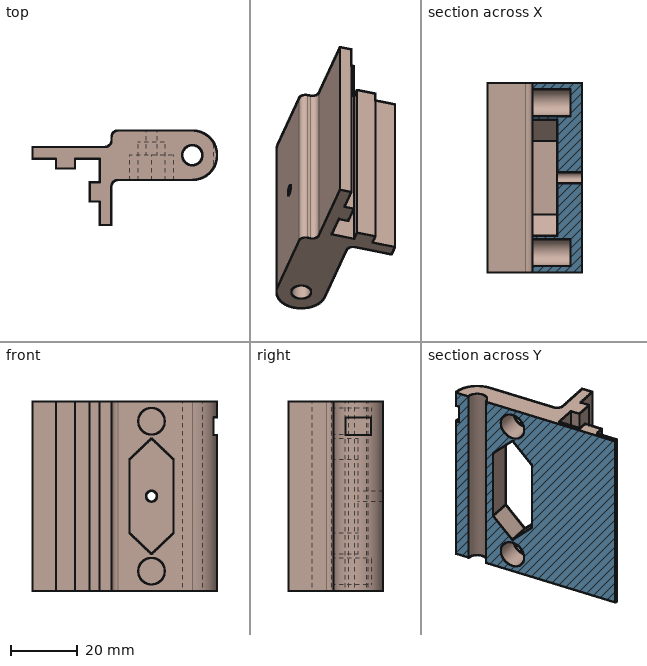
import cadquery as cq

height = 57
total_length = 55.5
total_depth = 28.45

block_thickness = 14.95
block_left = 23.75
knuckle_radius = block_thickness / 2
knuckle_x = total_length - knuckle_radius
pin_diameter = 6.0
corner_radius = 2.0

flange_thickness = 3.6
flange_rear = -4.95
flange_inner_y = flange_rear - flange_thickness
flange_inner_x = block_left - flange_thickness
rib_inset = 7.05
rib_width = 5.8
rib_height = 2.95

recess_x = 35.8
screw_diameter = 8
screw_depth = 11.4
screw_end_distance = 6.0
pocket_width = 13.35
pocket_height = 34.75
pocket_straight = 22.0
pocket_depth = 7.45
through_diameter = 3.2

notch_depth = 1.1
notch_height = 5.3
notch_bottom = 46.9


def box(x, y, z, length, depth, tall):
    """Box given by its lowest corner and its sizes."""
    return cq.Workplane("XY").box(length, depth, tall, centered=False).translate((x, y, z))


def front_plane():
    """Sketch plane on the block's front face; extrude by a negative distance to go inward."""
    return cq.Workplane("XZ", origin=(recess_x, -block_thickness, height / 2))


def make_body():
    """Flanges and hinge block as one profile, with rounded junctions."""
    profile = (
        cq.Workplane("XY")
        .moveTo(0, flange_rear)
        .lineTo(block_left, flange_rear)
        .lineTo(block_left, 0)
        .lineTo(knuckle_x, 0)
        .threePointArc((total_length, -knuckle_radius), (knuckle_x, -block_thickness))
        .lineTo(block_left, -block_thickness)
        .lineTo(block_left, -total_depth)
        .lineTo(flange_inner_x, -total_depth)
        .lineTo(flange_inner_x, flange_inner_y)
        .lineTo(0, flange_inner_y)
        .close()
        .extrude(height)
    )
    rounded_corners = [(block_left, y) for y in (flange_rear, 0, -block_thickness)]
    for x, y in rounded_corners:
        edge = cq.selectors.NearestToPointSelector((x, y, height / 2))
        profile = profile.edges("|Z").edges(edge).fillet(corner_radius)
    return profile


def make_ribs():
    """One rib on each flange, the same distance from its free end."""
    rear_rib = box(rib_inset, flange_inner_y - rib_height, 0, rib_width, rib_height, height)
    side_rib = box(
        flange_inner_x - rib_height, rib_inset - total_depth, 0, rib_height, rib_width, height
    )
    return rear_rib.union(side_rib)


def make_pocket():
    """Six-sided pocket, pointed at the top and bottom."""
    half_width = pocket_width / 2
    half_straight = pocket_straight / 2
    half_height = pocket_height / 2
    corners = [
        (0, half_height),
        (half_width, half_straight),
        (half_width, -half_straight),
        (0, -half_height),
        (-half_width, -half_straight),
        (-half_width, half_straight),
    ]
    return front_plane().polyline(corners).close().extrude(-pocket_depth)


def make_screw_holes():
    """Blind round holes near both ends of the block."""
    offset = height / 2 - screw_end_distance
    centers = [(0, offset), (0, -offset)]
    return front_plane().pushPoints(centers).circle(screw_diameter / 2).extrude(-screw_depth)


pin_hole = cq.Workplane("XY").center(knuckle_x, -knuckle_radius).circle(pin_diameter / 2).extrude(height)
through_hole = front_plane().circle(through_diameter / 2).extrude(-block_thickness)
notch = box(
    total_length - notch_depth, -block_thickness, notch_bottom, notch_depth, block_thickness, notch_height
)

result = make_body().union(make_ribs())
for cutter in (pin_hole, make_pocket(), make_screw_holes(), through_hole, notch):
    result = result.cut(cutter)